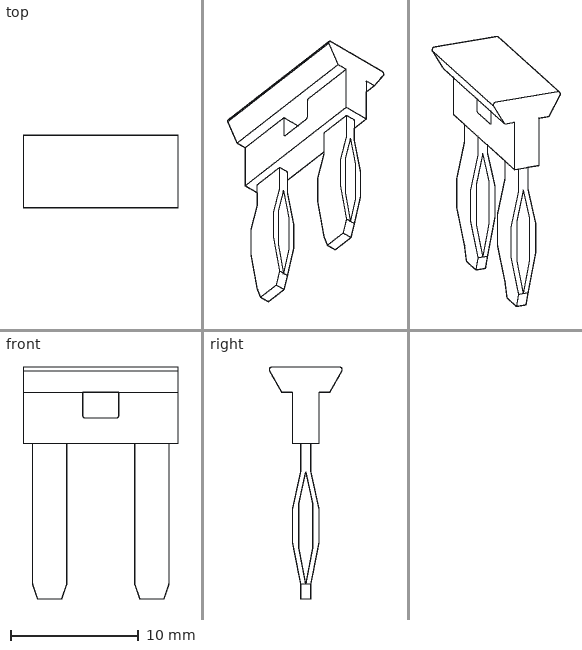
import cadquery as cq

total_height = 18.2
length = 12.1

head_width = 5.7
head_bottom_width = 3.77
head_height = 2.0
rim_height = 0.31
rim_radius = 0.2
web_width = 2.1
web_height = 4.02
window_length = 2.8
window_height = 2.0
window_radius = 0.2

pin_spacing = 8.0
pin_length = 2.71
pin_thickness = 0.82
bow_width = 2.11
eye_width = 1.07
neck_height = 2.2
tip_height = 1.2
tip_end_length = 1.9
bow_middle = 5.75
outer_straight_height = 2.55
eye_straight_height = 3.5

head_bottom = total_height - head_height
web_bottom = head_bottom - web_height
rim_bottom = total_height - rim_height
eye_top = web_bottom - neck_height
eye_bottom = tip_height


def extrude_along_x(points, extent):
    """Extrude a closed (Y, Z) outline symmetrically about X = 0."""
    return cq.Workplane("YZ").polyline(points).close().extrude(extent / 2, both=True)


def make_head():
    half_top = head_width / 2
    half_bottom = head_bottom_width / 2
    head = extrude_along_x(
        [
            (-half_bottom, head_bottom),
            (half_bottom, head_bottom),
            (half_top, rim_bottom),
            (half_top, total_height),
            (-half_top, total_height),
            (-half_top, rim_bottom),
        ],
        length,
    )
    return head.faces(">Z").edges("|X").fillet(rim_radius)


def make_web():
    web = cq.Workplane("XY").box(length, web_width, web_height, centered=(True, True, False))
    return web.translate((0, 0, web_bottom))


def make_window():
    """Through opening directly under the head, with rounded lower corners."""
    window = cq.Workplane("XY").box(
        window_length, web_width, window_height, centered=(True, True, False)
    )
    window = window.faces("<Z").edges("|Y").fillet(window_radius)
    return window.translate((0, 0, head_bottom - window_height))


def make_housing():
    web = make_web().cut(make_window())
    return make_head().union(web).solids().val()


def make_pin_side():
    """Pin of constant length along X, with the bowed outline and the eye."""
    half_neck = pin_thickness / 2
    half_bow = bow_width / 2
    half_eye = eye_width / 2
    bow_top = bow_middle + outer_straight_height / 2
    bow_bottom = bow_middle - outer_straight_height / 2
    eye_side_top = bow_middle + eye_straight_height / 2
    eye_side_bottom = bow_middle - eye_straight_height / 2
    right_side = [
        (half_neck, 0),
        (half_neck, eye_bottom),
        (half_bow, bow_bottom),
        (half_bow, bow_top),
        (half_neck, eye_top),
        (half_neck, web_bottom),
    ]
    left_side = [(-y, z) for y, z in reversed(right_side)]
    eye = [
        (0, eye_bottom),
        (half_eye, eye_side_bottom),
        (half_eye, eye_side_top),
        (0, eye_top),
        (-half_eye, eye_side_top),
        (-half_eye, eye_side_bottom),
    ]
    body = extrude_along_x(right_side + left_side, pin_length)
    return body.cut(extrude_along_x(eye, pin_length))


def make_pin_front():
    """Straight bar with a tapered tip, bounding the pin along X."""
    half_length = pin_length / 2
    half_end = tip_end_length / 2
    outline = [
        (-half_end, 0),
        (half_end, 0),
        (half_length, tip_height),
        (half_length, web_bottom),
        (-half_length, web_bottom),
        (-half_length, tip_height),
    ]
    return cq.Workplane("XZ").polyline(outline).close().extrude(bow_width / 2, both=True)


def make_pin(x):
    pin = make_pin_side().intersect(make_pin_front())
    return pin.translate((x, 0, 0)).solids().val()


housing = make_housing()
pins = [make_pin(side * pin_spacing / 2) for side in (-1, 1)]

result = cq.Compound.makeCompound([housing, *pins])